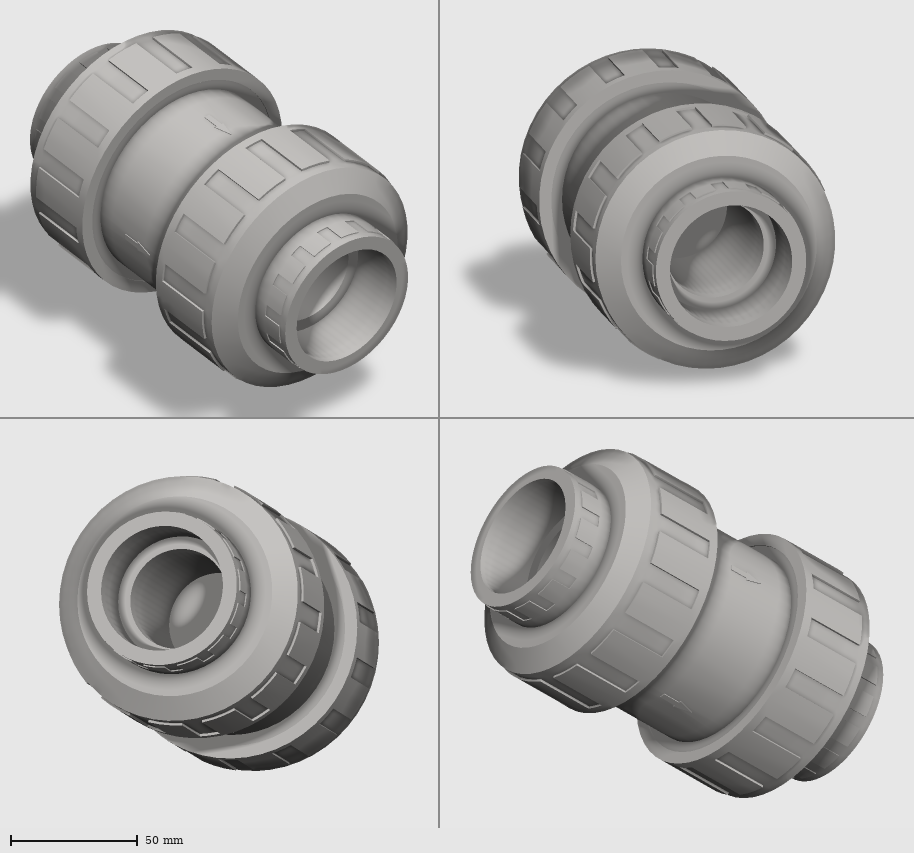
import cadquery as cq

half_length = 82.0
collar_rib_start = 78.5
collar_notch_end = 69.5
nut_outer_face = 63.5
nut_bevel_end = 58.2
nut_rib_start = 53.3
nut_notch_end = 27.5
nut_inner_face = 23.6

body_diameter = 81.0
nut_bevel_diameter = 80.0
nut_diameter = 98.0
nut_rib_diameter = 100.0
nut_recess_diameter = 90.0
collar_diameter = 61.5
collar_rib_diameter = 62.5
socket_diameter = 50.0
port_diameter = 40.0

nut_recess_depth = 0.5
socket_depth = 24.6
center_wall_thickness = 3.3

notch_count = 14
notch_angle = 9.5
first_notch_angle = 8.0

sleeve_overlap = 0.8

arrow_length = 15.7
arrow_head_length = 7.9
arrow_head_width = 4.3
arrow_shaft_width = 2.5
arrow_height = 0.3
arrow_count = 4


def cylinder(diameter, x_start, x_end):
    """Solid cylinder on the X axis."""
    return cq.Workplane("YZ", origin=(x_start, 0, 0)).circle(diameter / 2).extrude(x_end - x_start)


def notched_sleeve(core_diameter, rib_diameter, x_start, notch_end, x_end):
    """Sleeve whose rim is cut through by a ring of notches that are open towards -X."""
    inner_radius = core_diameter / 2 - sleeve_overlap
    sleeve = cylinder(rib_diameter, x_start, x_end).cut(cylinder(2 * inner_radius, x_start, x_end))
    notch = (
        cq.Workplane("XY")
        .moveTo(x_start - sleeve_overlap, inner_radius - sleeve_overlap)
        .lineTo(notch_end, inner_radius - sleeve_overlap)
        .lineTo(notch_end, rib_diameter / 2 + sleeve_overlap)
        .lineTo(x_start - sleeve_overlap, rib_diameter / 2 + sleeve_overlap)
        .close()
        .revolve(notch_angle, (0, 0, 0), (1, 0, 0))
    )
    for index in range(notch_count):
        middle = first_notch_angle + index * 360 / notch_count
        sleeve = sleeve.cut(notch.rotate((0, 0, 0), (1, 0, 0), middle - notch_angle / 2))
    return sleeve


def collar():
    """Pipe collar with a smooth lip and a notched grip, on the -X end."""
    core = cylinder(collar_diameter, -half_length, -nut_bevel_end)
    grip = notched_sleeve(
        collar_diameter, collar_rib_diameter, -collar_rib_start, -collar_notch_end, -nut_bevel_end
    )
    return core.union(grip)


def nut():
    """Union nut with a beveled outer edge and a notched grip, on the -X end."""
    core = (
        cq.Workplane("XY")
        .moveTo(-nut_outer_face, 0)
        .lineTo(-nut_outer_face, nut_bevel_diameter / 2)
        .lineTo(-nut_bevel_end, nut_diameter / 2)
        .lineTo(-nut_inner_face, nut_diameter / 2)
        .lineTo(-nut_inner_face, 0)
        .close()
        .revolve(360, (0, 0, 0), (1, 0, 0))
    )
    grip = notched_sleeve(nut_diameter, nut_rib_diameter, -nut_rib_start, -nut_notch_end, -nut_inner_face)
    recess = cylinder(nut_recess_diameter, -nut_inner_face - nut_recess_depth, -nut_inner_face)
    return core.union(grip).cut(recess)


def bore():
    """Pipe socket and narrower port, open at the -X end and closed at the center wall."""
    socket = cylinder(socket_diameter, -half_length, socket_depth - half_length)
    port = cylinder(port_diameter, -half_length, -center_wall_thickness / 2)
    return socket.union(port)


def flow_arrow():
    """Raised arrow on the top of the body, pointing along +X and following the body's curve."""
    tip = arrow_length / 2
    head_base = tip - arrow_head_length
    upper_half = [
        (-tip, arrow_shaft_width / 2),
        (head_base, arrow_shaft_width / 2),
        (head_base, arrow_head_width / 2),
    ]
    lower_half = [(x, -y) for x, y in reversed(upper_half)]
    prism = cq.Workplane("XY").polyline(upper_half + [(tip, 0)] + lower_half).close().extrude(body_diameter)
    return prism.intersect(cylinder(body_diameter + 2 * arrow_height, -tip, tip))


def turned(end):
    """The same end turned around to face +X."""
    return end.rotate((0, 0, 0), (0, 0, 1), 180)


body = cylinder(body_diameter, -nut_notch_end, nut_notch_end)
for index in range(arrow_count):
    body = body.union(flow_arrow().rotate((0, 0, 0), (1, 0, 0), index * 360 / arrow_count))

fitting = collar().union(nut())
result = body.union(fitting).union(turned(fitting)).cut(bore()).cut(turned(bore()))